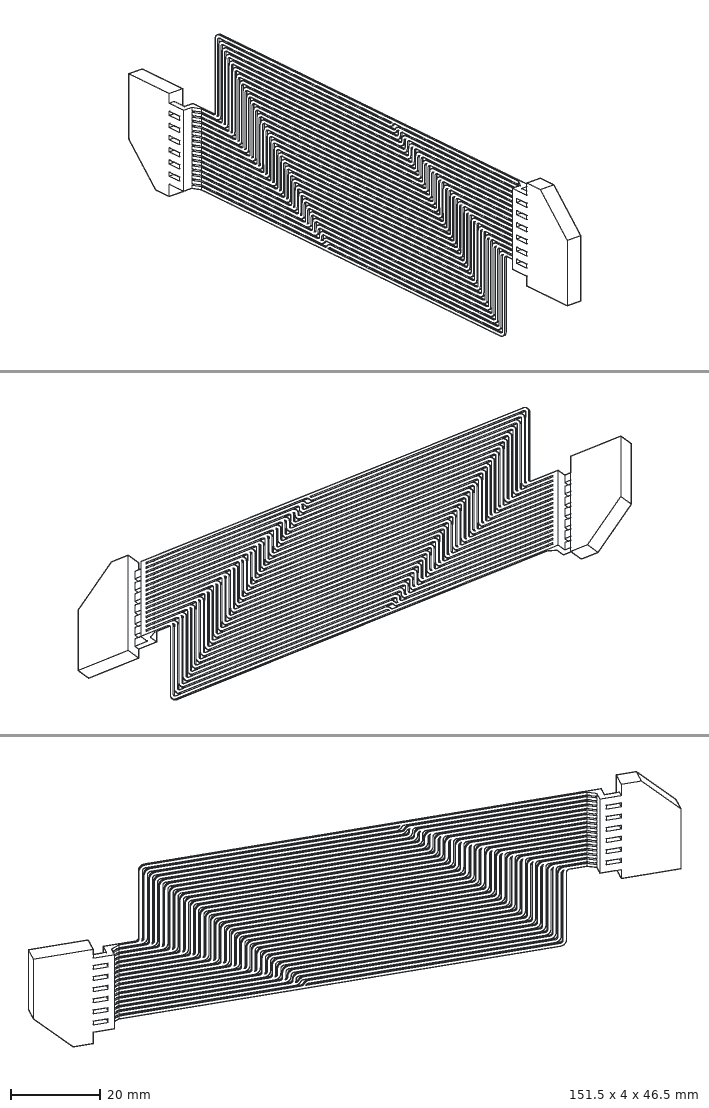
import cadquery as cq
import math

TOTAL_LENGTH = 151.5
TOTAL_HEIGHT = 46.5
DEPTH = 4.0
BACK_Y = DEPTH / 2
FRONT_Y = -DEPTH / 2

LEAD_COUNT = 17
TRACE_COUNT = 2 * LEAD_COUNT
TRACE_PITCH = 1.2
TRACE_WIDTH = 0.8
TRACE_THICKNESS = 0.5
INNER_BEND_RADIUS = 0.7
CABLE_LENGTH = 100.0

BLOCK_LENGTH = 14.0
BLOCK_OVERHANG = 2.4
BLOCK_CHAMFER = 9.3
TAB_THICKNESS = 1.5
SLOT_COUNT = 6
SLOT_PITCH = 3.0
SLOT_HEIGHT = 1.0
SLOT_LENGTH = 3.5
LEG_THICKNESS = 1.5
RAMP_LENGTH = 2.0
RAMP_ROOT_THICKNESS = 1.6

HALF_WIDTH = TRACE_WIDTH / 2
OUTER_BEND_RADIUS = INNER_BEND_RADIUS + TRACE_WIDTH
MIDDLE_BEND_RADIUS = INNER_BEND_RADIUS + HALF_WIDTH
BLOCK_LEFT = -TOTAL_LENGTH / 2
BLOCK_RIGHT = BLOCK_LEFT + BLOCK_LENGTH
LEG_LEFT = BLOCK_RIGHT + SLOT_LENGTH
LEG_RIGHT = LEG_LEFT + LEG_THICKNESS
FIRST_RISER_X = -CABLE_LENGTH / 2 + HALF_WIDTH


def row_z(row):
    """Centre height of a trace row, counted down from the top of the cable."""
    return ((TRACE_COUNT - 1) / 2 - row) * TRACE_PITCH


TAB_TOP = row_z(LEAD_COUNT) + HALF_WIDTH
TAB_BOTTOM = row_z(TRACE_COUNT - 1) - HALF_WIDTH
TAB_MID_Z = (TAB_TOP + TAB_BOTTOM) / 2
BLOCK_TOP = TAB_TOP + BLOCK_OVERHANG
BLOCK_BOTTOM = -TOTAL_HEIGHT / 2


def box(x_min, x_max, y_min, y_max, z_min, z_max):
    """Rectangular block between the given limits."""
    size = (x_max - x_min, y_max - y_min, z_max - z_min)
    return cq.Workplane("XY").box(*size, centered=False).translate((x_min, y_min, z_min))


def half_turn(shape):
    """Turn a shape half way round the Y axis."""
    return shape.rotate((0, 0, 0), (0, 1, 0), 180)


def climb(outline, turn, riser_x, low_z, high_z):
    """Draw the upper edge of a trace that climbs a riser, from one row up to another.

    The trace bends up on one arc and levels out on another. A riser lower than two full
    bends becomes an S of two shorter arcs. A turn of -1 draws the edge half turned.
    """
    bend_cosine = max(0.0, 1 - (high_z - low_z) / (2 * MIDDLE_BEND_RADIUS))
    bend_sine = math.sqrt(1 - bend_cosine**2)
    high_centre_x = riser_x + MIDDLE_BEND_RADIUS
    low_centre_x = high_centre_x - 2 * MIDDLE_BEND_RADIUS * bend_sine
    low_centre_z = low_z + MIDDLE_BEND_RADIUS
    high_centre_z = high_z - MIDDLE_BEND_RADIUS
    low_start = (turn * low_centre_x, turn * (low_z + HALF_WIDTH))
    low_end = (
        turn * (low_centre_x + INNER_BEND_RADIUS * bend_sine),
        turn * (low_centre_z - INNER_BEND_RADIUS * bend_cosine),
    )
    high_start = (
        turn * (high_centre_x - OUTER_BEND_RADIUS * bend_sine),
        turn * (high_centre_z + OUTER_BEND_RADIUS * bend_cosine),
    )
    high_end = (turn * high_centre_x, turn * (high_z + HALF_WIDTH))
    outline = outline.lineTo(*low_start)
    outline = outline.radiusArc(low_end, -INNER_BEND_RADIUS)
    is_full_bend = bend_cosine == 0
    if is_full_bend:
        outline = outline.lineTo(*high_start)
    return outline.radiusArc(high_end, OUTER_BEND_RADIUS)


def lead_rows(index):
    """Centre heights of the left and right leads that a trace joins."""
    lead = index // 2
    return row_z(LEAD_COUNT + lead), row_z(lead)


def draw_upper_edge(outline, index, turn):
    """Draw the upper edge of one trace, left lead to right lead; a turn of -1 half turns it."""
    left_z, right_z = lead_rows(index)
    middle_z = row_z(index)
    left_riser_x = FIRST_RISER_X + index * TRACE_PITCH
    right_riser_x = -FIRST_RISER_X - (TRACE_COUNT - 1 - index) * TRACE_PITCH
    if middle_z > left_z:
        outline = climb(outline, turn, left_riser_x, left_z, middle_z)
    if right_z > middle_z:
        outline = climb(outline, turn, right_riser_x, middle_z, right_z)
    return outline.lineTo(-turn * LEG_RIGHT, turn * (right_z + HALF_WIDTH))


def make_trace(index):
    """One trace; its lower edge is the upper edge of the opposite trace, half turned."""
    left_z, right_z = lead_rows(index)
    outline = cq.Workplane("XZ", origin=(0, BACK_Y, 0)).moveTo(LEG_RIGHT, left_z + HALF_WIDTH)
    outline = draw_upper_edge(outline, index, 1)
    outline = outline.lineTo(-LEG_RIGHT, right_z - HALF_WIDTH)
    outline = draw_upper_edge(outline, TRACE_COUNT - 1 - index, -1)
    return outline.close().extrude(TRACE_THICKNESS)


def make_block():
    """Connector body with its lower outer corner cut off at 45 degrees."""
    block = box(BLOCK_LEFT, BLOCK_RIGHT, FRONT_Y, BACK_Y, BLOCK_BOTTOM, BLOCK_TOP)
    return block.edges("|Y and <X and <Z").chamfer(BLOCK_CHAMFER)


def make_tab():
    """Flat tab with see-through slots, turned back into an upright leg."""
    tab = box(BLOCK_RIGHT, LEG_RIGHT, FRONT_Y, FRONT_Y + TAB_THICKNESS, TAB_BOTTOM, TAB_TOP)
    leg = box(LEG_LEFT, LEG_RIGHT, FRONT_Y, BACK_Y, TAB_BOTTOM, TAB_TOP)
    tab = tab.union(leg)
    for slot in range(SLOT_COUNT):
        slot_z = TAB_MID_Z + (slot - (SLOT_COUNT - 1) / 2) * SLOT_PITCH
        slot_bottom = slot_z - SLOT_HEIGHT / 2
        tab = tab.cut(
            box(BLOCK_RIGHT, LEG_LEFT, FRONT_Y, BACK_Y, slot_bottom, slot_bottom + SLOT_HEIGHT)
        )
    return tab


def make_ramp(lead):
    """Taper that thickens one lead where it meets the leg."""
    bottom = row_z(LEAD_COUNT + lead) - HALF_WIDTH
    profile = [
        (LEG_RIGHT, BACK_Y),
        (LEG_RIGHT + RAMP_LENGTH, BACK_Y),
        (LEG_RIGHT + RAMP_LENGTH, BACK_Y - TRACE_THICKNESS),
        (LEG_RIGHT, BACK_Y - RAMP_ROOT_THICKNESS),
    ]
    return cq.Workplane("XY", origin=(0, 0, bottom)).polyline(profile).close().extrude(TRACE_WIDTH)


def make_connector():
    """Left connector: block, slotted tab with leg, and one ramp for each lead."""
    connector = make_block().union(make_tab())
    for lead in range(LEAD_COUNT):
        connector = connector.union(make_ramp(lead))
    return connector


left_connector = make_connector()
result = left_connector.union(half_turn(left_connector))
for trace in range(TRACE_COUNT):
    result = result.union(make_trace(trace))